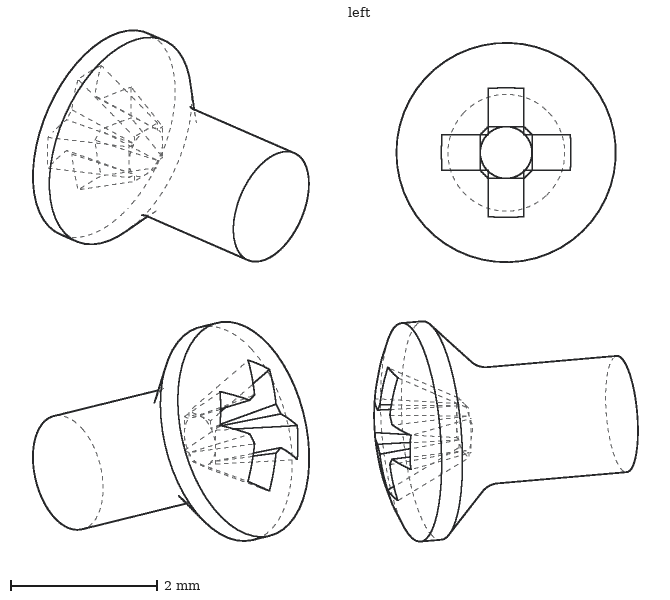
import cadquery as cq
import math

length = 3.37
head_radius = 1.5
shank_radius = 0.8
dome_radius = 2 * head_radius
rim_width = 0.295
neck_fillet = 0.4

wing_width = 0.49
wing_reach = 0.883
core_radius = 0.355
wing_depth = 1.018
tip_half_angle = 70
clearance = 0.17


def dome_sag(radius):
    """Axial drop of the dome from its apex at a given radius."""
    return dome_radius - math.sqrt(dome_radius**2 - radius**2)


facet_top = (core_radius + wing_width / 2) / math.sqrt(2)
facet_bottom = wing_width / math.sqrt(2)
apex_x = -dome_sag(facet_top)
rim_start = apex_x + dome_sag(head_radius)
rim_end = rim_start + rim_width
neck_x = rim_end + head_radius - shank_radius
reach_x = apex_x + dome_sag(wing_reach)
bottom_x = reach_x + wing_depth


def make_body():
    """Revolve the dome, rim, countersink, filleted neck and shank."""
    tangent = neck_fillet * math.tan(math.radians(22.5))
    diagonal = tangent / math.sqrt(2)
    fillet_end = neck_x + tangent
    fillet_centre_r = shank_radius + neck_fillet
    fillet_mid = (
        fillet_end - neck_fillet * math.sin(math.radians(22.5)),
        fillet_centre_r - neck_fillet * math.cos(math.radians(22.5)),
    )
    dome_mid_r = head_radius / 2
    return (
        cq.Workplane("XY")
        .moveTo(apex_x, 0)
        .threePointArc((apex_x + dome_sag(dome_mid_r), dome_mid_r), (rim_start, head_radius))
        .lineTo(rim_end, head_radius)
        .lineTo(neck_x - diagonal, shank_radius + diagonal)
        .threePointArc(fillet_mid, (fillet_end, shank_radius))
        .lineTo(length, shank_radius)
        .lineTo(length, 0)
        .close()
        .revolve(360, (0, 0, 0), (1, 0, 0))
    )


def make_wing_pair():
    """Two opposite wings in the XY plane with floors sloping to the bottom."""
    front_x = apex_x - clearance
    slope = (wing_reach - core_radius) / wing_depth
    front_reach = wing_reach + (reach_x - front_x) * slope
    return (
        cq.Workplane("XY")
        .polyline([
            (front_x, -front_reach),
            (front_x, front_reach),
            (bottom_x, core_radius),
            (bottom_x, -core_radius),
        ])
        .close()
        .extrude(wing_width / 2, both=True)
    )


def make_core():
    """Tapered square core whose faces form the facets between the wings."""
    front_x = -clearance
    taper = (facet_top - facet_bottom) / bottom_x
    front_half = facet_top + clearance * taper
    pyramid = (
        cq.Workplane("YZ", origin=(front_x, 0, 0))
        .rect(2 * front_half, 2 * front_half)
        .workplane(offset=bottom_x - front_x)
        .rect(2 * facet_bottom, 2 * facet_bottom)
        .loft(combine=True)
        .rotate((0, 0, 0), (1, 0, 0), 45)
    )
    bound = (
        cq.Workplane("YZ", origin=(front_x, 0, 0))
        .rect(2 * core_radius, 2 * core_radius)
        .extrude(bottom_x - front_x)
    )
    return pyramid.intersect(bound)


def make_tip():
    """Conical point below the recess bottom."""
    tip_depth = core_radius / math.tan(math.radians(tip_half_angle))
    return (
        cq.Workplane("XY")
        .polyline([(bottom_x, 0), (bottom_x, core_radius), (bottom_x + tip_depth, 0)])
        .close()
        .revolve(360, (0, 0, 0), (1, 0, 0))
    )


result = make_body()
for angle in (0, 90):
    result = result.cut(make_wing_pair().rotate((0, 0, 0), (1, 0, 0), angle))
result = result.cut(make_core()).cut(make_tip())